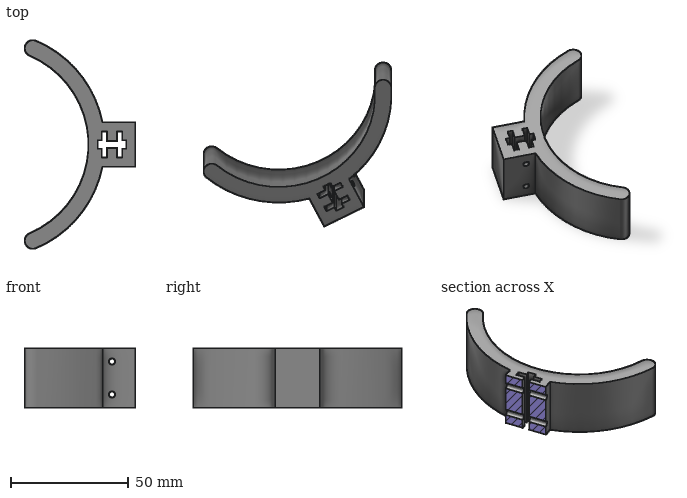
import cadquery as cq
import math

height = 25.4
overall_length_x = 47.13
overall_length_y = 88.93

arm_inner_radius = 41.0
arm_thickness = 7.0
arm_outer_radius = arm_inner_radius + arm_thickness
arm_mid_radius = arm_inner_radius + arm_thickness / 2
tip_radius = arm_thickness / 2
tip_y = overall_length_y / 2 - tip_radius
arm_half_angle = math.asin(tip_y / arm_mid_radius)
tip_x = arm_mid_radius * math.cos(arm_half_angle)

block_width = 19.05
block_back_x = tip_x - tip_radius + overall_length_x
block_front_x = arm_mid_radius

slot_to_block_back = 9.95
slot_center_x = block_back_x - slot_to_block_back
bar_length = 11.05
bar_width = 2.15
bars_outer_span = 8.6
bar_offset = (bars_outer_span - bar_width) / 2
bridge_width = 2.95
stubs_outer_span = 12.1
stub_width = 3.5
stub_length = (stubs_outer_span - bars_outer_span) / 2 + bar_width / 2
stub_offset = (stubs_outer_span - stub_length) / 2

cross_hole_diameter = 2.5
cross_hole_spacing = 14.0


def polar_point(radius, angle):
    """Point at the given radius from the arc centre and angle from +X."""
    return (radius * math.cos(angle), radius * math.sin(angle))


def make_arm():
    """Circular arc strip with a full round at each tip."""
    cap_x = tip_x - tip_radius * math.sin(arm_half_angle)
    cap_y = tip_y + tip_radius * math.cos(arm_half_angle)
    return (
        cq.Workplane("XY")
        .moveTo(*polar_point(arm_inner_radius, -arm_half_angle))
        .threePointArc((arm_inner_radius, 0), polar_point(arm_inner_radius, arm_half_angle))
        .threePointArc((cap_x, cap_y), polar_point(arm_outer_radius, arm_half_angle))
        .threePointArc((arm_outer_radius, 0), polar_point(arm_outer_radius, -arm_half_angle))
        .threePointArc((cap_x, -cap_y), polar_point(arm_inner_radius, -arm_half_angle))
        .close()
        .extrude(height)
    )


def make_full_height_box(center_x, size_x, size_y):
    """Box centred on the X axis that spans the part's full height."""
    return cq.Workplane("XY").center(center_x, 0).rect(size_x, size_y).extrude(height)


def make_block():
    """Block that starts inside the arm so that the two merge."""
    return make_full_height_box(
        (block_front_x + block_back_x) / 2, block_back_x - block_front_x, block_width
    )


def make_slot():
    """Slot cutter running through the full height."""
    slot = make_full_height_box(slot_center_x, 2 * bar_offset, bridge_width)
    for side in (-1, 1):
        bar = make_full_height_box(slot_center_x + side * bar_offset, bar_width, bar_length)
        stub = make_full_height_box(slot_center_x + side * stub_offset, stub_length, stub_width)
        slot = slot.union(bar).union(stub)
    return slot


def make_cross_holes():
    """Two pin holes, one above the other, in line with the slot centre."""
    hole_points = [
        (slot_center_x, height / 2 + side * cross_hole_spacing / 2) for side in (-1, 1)
    ]
    return (
        cq.Workplane("XZ")
        .pushPoints(hole_points)
        .circle(cross_hole_diameter / 2)
        .extrude(block_width, both=True)
    )


result = make_arm().union(make_block()).cut(make_slot()).cut(make_cross_holes())